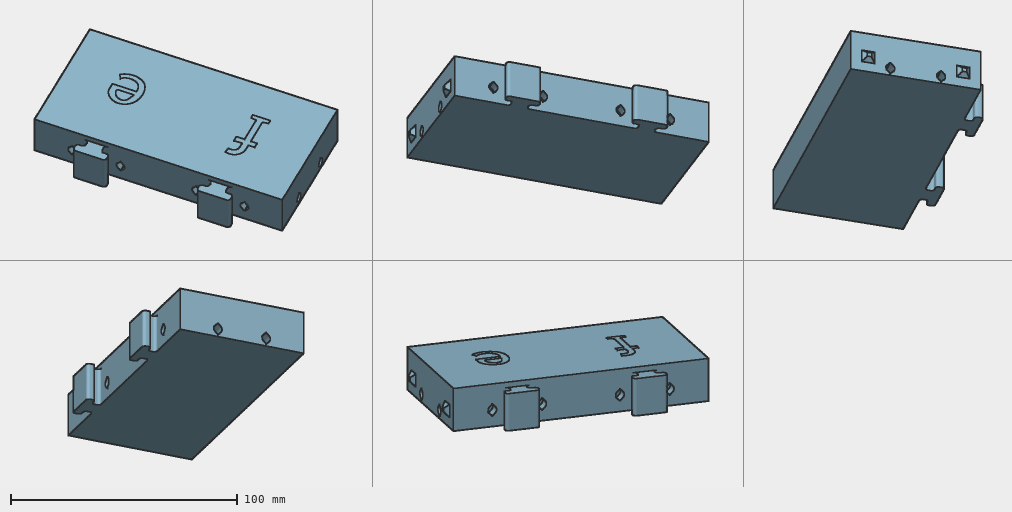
import cadquery as cq
import math

block_length = 120.0
block_width = block_length / 2
block_height = block_length / 6

stud_height = 2.0
stud_base = 6.0
stud_tip = 2.0
stud_offset = 22.0
stud_z = 7.8

cell_pitch = block_length / 2
cell_centers = [-cell_pitch / 2, cell_pitch / 2]
connector_reach = 7.9
connector_height = 17.4
head_width = 16.0
neck_width = head_width / 2
head_thickness = connector_reach / 2
connector_round = 1.5

hole_radius = block_height / 10
hole_offset = 11.7
front_hole_z = 7.8
front_hole_depth = 4.9
through_hole_z = 3.8

inlay_depth = 1.0
baseline_y = 11.8

e_left = -7.5
e_right = 7.3
e_top = 17.8
e_bottom = -0.4
e_bar_bottom = 8.0
e_bar_top = 10.4
e_inner_left = -4.1
e_inner_right = 3.9
e_inner_top = 15.4
e_inner_bottom = 2.1
e_bowl_start = 10.9
e_tail_outer = (6.6, 1.6)
e_tail_inner = (5.5, 3.8)
e_counter_curve = [(3.0, 13.8), (0, e_inner_top), (-3.0, 13.4)]
e_outer_curve = [
    (5.4, 15.6),
    (0.2, e_top),
    (-5.1, 15.5),
    (e_left, 8.8),
    (-5.4, 2.1),
    (0.7, e_bottom),
    e_tail_outer,
]
e_inner_curve = [(0.5, e_inner_bottom), (-2.4, 3.2), (e_inner_left, e_bar_bottom)]

f_stem_left = -2.8
f_stem_right = 0.2
f_foot_overhang = 2.7
f_foot_edge = 2.0
f_foot_height = 2.3
f_bar_left = -5.9
f_bar_right = 4.1
f_bar_bottom = 15.0
f_bar_top = 17.7
f_hook_inner_arc = [(f_stem_right, 20.1), (1.0, 22.2), (2.8, 23.0)]
f_hook_end = [(4.5, 22.9), (4.9, 25.4)]
f_hook_outer_arc = [(-0.7, 24.6), (f_stem_left, 20.4)]


def make_stud(y):
    """A truncated square pyramid that points to -X."""
    return (
        cq.Workplane("YZ", origin=(-block_length / 2, y, stud_z))
        .rect(stud_base, stud_base)
        .workplane(offset=-stud_height)
        .rect(stud_tip, stud_tip)
        .loft()
    )


def make_connector(x):
    """A T-shaped rail with rounded head corners and a filleted neck."""
    r = connector_round
    half_neck = neck_width / 2
    half_head = head_width / 2
    neck_length = connector_reach - head_thickness
    half_profile = (
        cq.Workplane("XY", origin=(x, -block_width / 2, 0))
        .lineTo(half_neck + r, 0)
        .radiusArc((half_neck, -r), -r)
        .lineTo(half_neck, r - neck_length)
        .radiusArc((half_neck + r, -neck_length), -r)
        .lineTo(half_head - r, -neck_length)
        .radiusArc((half_head, -neck_length - r), r)
        .lineTo(half_head, r - connector_reach)
        .radiusArc((half_head - r, -connector_reach), r)
        .lineTo(0, -connector_reach)
        .close()
        .extrude(connector_height)
    )
    return half_profile.union(half_profile.mirror("YZ", (x, 0, 0)))


def make_hole(plane, origin, depth):
    """A double-pointed hole of the given depth, cut along the plane's normal."""
    tip = hole_radius * math.sqrt(2)
    side = hole_radius / math.sqrt(2)
    return (
        cq.Workplane(plane, origin=origin)
        .moveTo(0, tip)
        .lineTo(side, side)
        .threePointArc((hole_radius, 0), (side, -side))
        .lineTo(0, -tip)
        .lineTo(-side, -side)
        .threePointArc((-hole_radius, 0), (-side, side))
        .close()
        .extrude(depth)
    )


def place_inlay(outline, x):
    """Turn an upright letter outline upside down and sink it flush into the top face."""
    return (
        outline.extrude(-inlay_depth)
        .rotate((0, 0, 0), (0, 0, 1), 180)
        .translate((x, baseline_y, block_height))
    )


def make_letter_e():
    """The inlay "e", whose closed counter is left to the block."""
    counter = (
        cq.Workplane("XY")
        .moveTo(e_inner_left, e_bar_top)
        .lineTo(e_inner_right, e_bar_top)
        .spline(e_counter_curve, includeCurrent=True)
        .close()
    )
    outline = (
        cq.Workplane("XY")
        .moveTo(e_inner_left, e_bar_bottom)
        .lineTo(e_right, e_bar_bottom)
        .lineTo(e_right, e_bowl_start)
        .spline(e_outer_curve, includeCurrent=True)
        .lineTo(*e_tail_inner)
        .spline(e_inner_curve, includeCurrent=True)
        .close()
    )
    x = cell_centers[0]
    return place_inlay(outline, x).cut(place_inlay(counter, x))


def make_letter_f():
    """The inlay "f", with a slab foot, a crossbar and a hook."""
    foot_left = f_stem_left - f_foot_overhang
    foot_right = f_stem_right + f_foot_overhang
    outline = (
        cq.Workplane("XY")
        .moveTo(foot_left, 0)
        .lineTo(foot_right, 0)
        .lineTo(foot_right, f_foot_edge)
        .lineTo(f_stem_right, f_foot_height)
        .lineTo(f_stem_right, f_bar_bottom)
        .lineTo(f_bar_right, f_bar_bottom)
        .lineTo(f_bar_right, f_bar_top)
        .lineTo(f_stem_right, f_bar_top)
        .lineTo(*f_hook_inner_arc[0])
        .threePointArc(*f_hook_inner_arc[1:])
        .lineTo(*f_hook_end[0])
        .lineTo(*f_hook_end[1])
        .threePointArc(*f_hook_outer_arc)
        .lineTo(f_stem_left, f_bar_top)
        .lineTo(f_bar_left, f_bar_top)
        .lineTo(f_bar_left, f_bar_bottom)
        .lineTo(f_stem_left, f_bar_bottom)
        .lineTo(f_stem_left, f_foot_height)
        .lineTo(foot_left, f_foot_edge)
        .close()
    )
    return place_inlay(outline, cell_centers[1])


def make_block():
    """A plate with studs and connectors, pierced lengthwise and drilled beside each connector."""
    block = cq.Workplane("XY").rect(block_length, block_width).extrude(block_height)
    for side in (-1, 1):
        block = block.union(make_stud(side * stud_offset))
    for x in cell_centers:
        block = block.union(make_connector(x))
        for side in (-1, 1):
            origin = (x + side * hole_offset, -block_width / 2, front_hole_z)
            block = block.cut(make_hole("XZ", origin, -front_hole_depth))
    for side in (-1, 1):
        origin = (-block_length / 2, side * hole_offset, through_hole_z)
        block = block.cut(make_hole("YZ", origin, block_length))
    return block


letter_e = make_letter_e()
letter_f = make_letter_f()
block = make_block().cut(letter_e).cut(letter_f)

result = cq.Compound.makeCompound([block.val(), letter_e.val(), letter_f.val()])